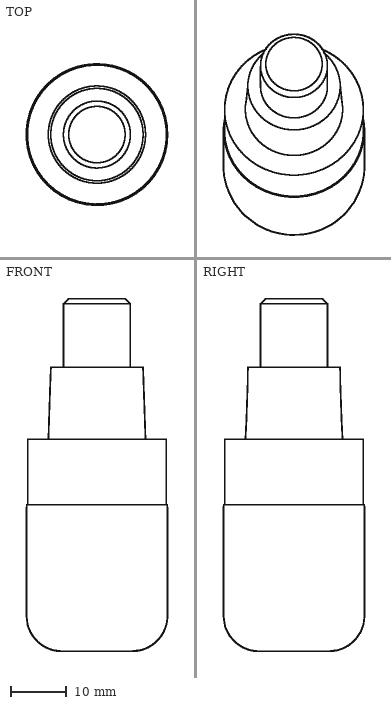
import cadquery as cq

total_height = 63.35
knob_height = 26.35
shoulder_height = 38.15
neck_top_height = 51.05

knob_radius = 12.7
knob_bottom_round = 6.45
rim_height = 0.9
rim_inset = 0.05

shoulder_radius = 12.5
neck_base_radius = 8.75
neck_top_radius = 8.3
pin_radius = 6.0
pin_chamfer = 0.95


def make_knob():
    body = cq.Workplane("XY").circle(knob_radius).extrude(knob_height)
    body = body.faces("<Z").edges().fillet(knob_bottom_round)
    return body.faces(">Z").edges().chamfer(rim_height, rim_inset)


def make_stem():
    """Revolve the half profile (radius, height) of the stem about the Z axis."""
    profile = (
        cq.Workplane("XZ")
        .moveTo(0, knob_height)
        .lineTo(shoulder_radius, knob_height)
        .lineTo(shoulder_radius, shoulder_height)
        .lineTo(neck_base_radius, shoulder_height)
        .lineTo(neck_top_radius, neck_top_height)
        .lineTo(pin_radius, neck_top_height)
        .lineTo(pin_radius, total_height - pin_chamfer)
        .lineTo(pin_radius - pin_chamfer, total_height)
        .lineTo(0, total_height)
        .close()
    )
    return profile.revolve(360, (0, 0, 0), (0, 1, 0))


knob = make_knob()
stem = make_stem()

result = cq.Compound.makeCompound([knob.val(), stem.val()])